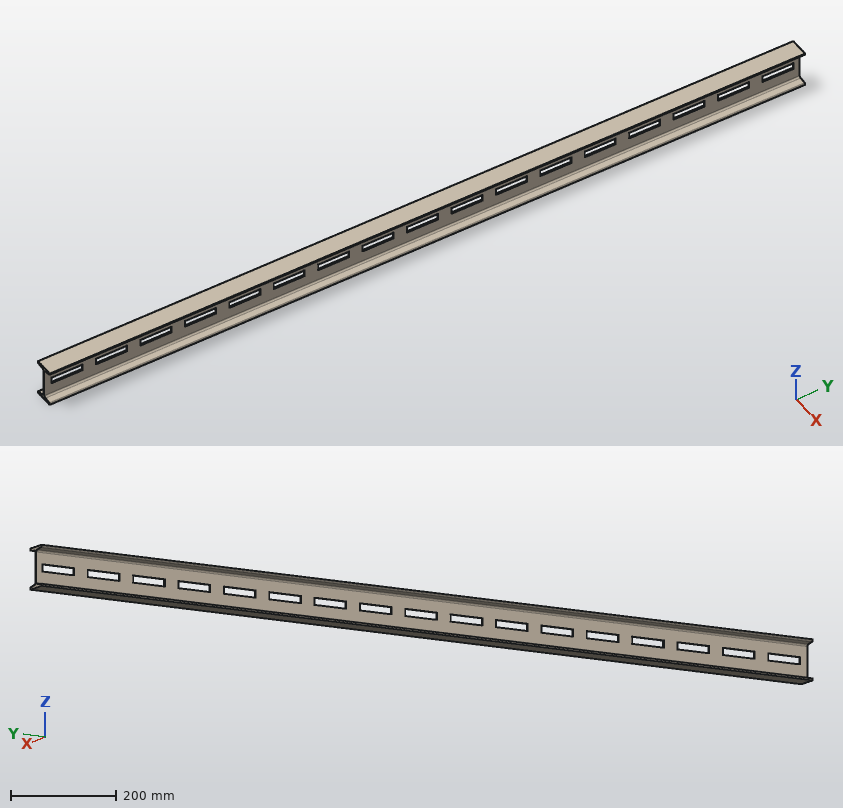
import cadquery as cq

length = 1700.0
height = 80.0
flange_width = 42.0
web_thickness = 3.9
flange_thickness = 5.8
flange_slope = 0.14
root_radius = 3.9
toe_radius = 2.3
selection_margin = 0.1

slot_pitch = 100.0
slot_length = 70.0
slot_height = 14.0
slot_count = 17
first_slot_gap = 16.5


def flange_depth(x):
    """Thickness of the tapered flange at distance x from the web centre."""
    return flange_thickness + flange_slope * (flange_width / 4 - x)


def centred_box(half_x, half_z):
    """Selector for edges centred within half_x and half_z of the beam axis."""
    corner = (half_x + selection_margin, length, half_z + selection_margin)
    return cq.selectors.BoxSelector(tuple(-v for v in corner), corner)


def make_beam():
    """I-section extruded along Y, centred on the origin, with rolled roots and toes."""
    half_width = flange_width / 2
    half_web = web_thickness / 2
    top = height / 2
    toe_z = top - flange_depth(half_width)
    root_z = top - flange_depth(half_web)

    upper_right = [(half_width, top), (half_width, toe_z), (half_web, root_z)]
    lower_right = [(x, -z) for x, z in reversed(upper_right)]
    right_side = upper_right + lower_right
    left_side = [(-x, z) for x, z in reversed(right_side)]
    outline = cq.Workplane("XZ").polyline(right_side + left_side).close()
    beam = outline.extrude(length / 2, both=True)
    beam = beam.edges("|Y").edges(centred_box(half_web, root_z)).fillet(root_radius)
    toes = beam.faces("<X or >X").edges("|Y").edges(centred_box(half_width, toe_z))
    return toes.fillet(toe_radius)


def make_slots():
    """Rectangular slot cutters passing through the web along X."""
    first_y = -length / 2 + first_slot_gap + slot_length / 2
    centres = [(first_y + i * slot_pitch, 0) for i in range(slot_count)]
    slots = cq.Workplane("YZ").pushPoints(centres).rect(slot_length, slot_height)
    return slots.extrude(flange_width / 2, both=True)


result = make_beam().cut(make_slots())